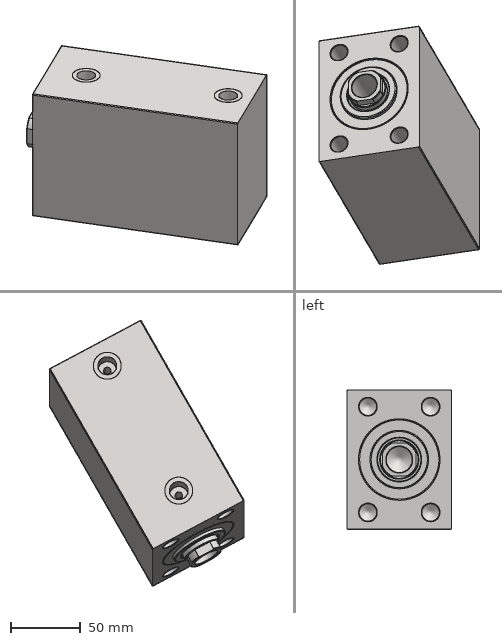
import cadquery as cq
import math


total_length = 165
block_front = 12.0
block_width = 75.0
block_height = 100.0
block_edge_chamfer = 0.7
block_length = total_length - block_front

mount_spacing_y = 44.9
mount_spacing_z = 75.7
mount_diameter = 12.5
mount_mouth_chamfer = 0.41
mount_depth = 24.8

port_positions = (41.1, 147.0)
spotface_diameter = 20.0
spotface_depth = 0.1
port_diameter = 13.4
port_depth = 13.2
passage_diameter = 5.1

gland_diameter = 56.8
gland_rear = port_positions[0]
gland_seat_chamfer = 0.8
collar_diameter = 41.9
collar_protrusion = 2.6
collar_front = block_front - collar_protrusion
collar_chamfer_width = 0.8
collar_chamfer_length = 0.5
recess_diameter = 31.0
recess_depth = 1.6
recess_chamfer = 0.5

rod_diameter = 28
rod_chamfer = 0.5
shoulder_front = 6.3
nose_diameter = 26.7
nose_chamfer = 0.5
nose_across_flats = 23.8
rod_bore_diameter = 18.6
rod_bore_chamfer = 0.3
rod_bore_depth = 29.7
rod_rear = 155.1

drill_point_angle = 118


def revolve_about_axis(points):
    """Solid of revolution about X from (x, radius) points; the closing edge joins last to first."""
    return cq.Workplane("XY").polyline(points).close().revolve(360, (0, 0, 0), (1, 0, 0))


def cylinder_along_x(diameter, start, end):
    radius = diameter / 2
    return revolve_about_axis([(start, 0), (start, radius), (end, radius), (end, 0)])


def drilled_hole(diameter, mouth_chamfer, start, depth):
    """Cutter for a blind hole along X with a chamfered mouth and a conical drill point."""
    radius = diameter / 2
    point_length = radius / math.tan(math.radians(drill_point_angle / 2))
    return revolve_about_axis([
        (start, 0),
        (start, radius + mouth_chamfer),
        (start + mouth_chamfer, radius),
        (start + depth, radius),
        (start + depth + point_length, 0),
    ])


def vertical_cutter(x, diameter, bottom, top):
    return cq.Workplane("XY", origin=(x, 0, bottom)).circle(diameter / 2).extrude(top - bottom)


def make_port_cutter(x):
    """Spotface, flat-bottomed port and a narrow passage down into the axial bores."""
    top = block_height / 2
    spotface = vertical_cutter(x, spotface_diameter, top - spotface_depth, top)
    port = vertical_cutter(x, port_diameter, top - port_depth, top)
    passage = vertical_cutter(x, passage_diameter, 0, top)
    return spotface.union(port).union(passage)


def make_gland_seat():
    """Cutter for the gland seat with its chamfered mouth."""
    radius = gland_diameter / 2
    return revolve_about_axis([
        (block_front, 0),
        (block_front, radius + gland_seat_chamfer),
        (block_front + gland_seat_chamfer, radius),
        (gland_rear, radius),
        (gland_rear, 0),
    ])


def make_housing():
    block = (
        cq.Workplane("YZ", origin=(block_front, 0, 0))
        .rect(block_width, block_height)
        .extrude(block_length)
        .edges("|X")
        .chamfer(block_edge_chamfer)
    )
    block = block.cut(make_gland_seat())
    block = block.cut(cylinder_along_x(rod_diameter, block_front, rod_rear))
    mount_hole = drilled_hole(mount_diameter, mount_mouth_chamfer, block_front, mount_depth)
    for y in (-mount_spacing_y / 2, mount_spacing_y / 2):
        for z in (-mount_spacing_z / 2, mount_spacing_z / 2):
            block = block.cut(mount_hole.translate((0, y, z)))
    for x in port_positions:
        block = block.cut(make_port_cutter(x))
    return block


def make_gland():
    """Stepped ring around the rod, with a wiper recess in its collar."""
    gland_radius = gland_diameter / 2
    collar_radius = collar_diameter / 2
    recess_radius = recess_diameter / 2
    rod_radius = rod_diameter / 2
    return revolve_about_axis([
        (collar_front + recess_depth, rod_radius),
        (collar_front + recess_depth, recess_radius),
        (collar_front + recess_chamfer, recess_radius),
        (collar_front, recess_radius + recess_chamfer),
        (collar_front, collar_radius - collar_chamfer_width),
        (collar_front + collar_chamfer_length, collar_radius),
        (block_front, collar_radius),
        (block_front, gland_radius),
        (gland_rear, gland_radius),
        (gland_rear, rod_radius),
    ])


def make_rod():
    """Rod with a square-flatted nose and a blind bore in its end."""
    rod_radius = rod_diameter / 2
    nose_radius = nose_diameter / 2
    nose = revolve_about_axis([
        (0, 0),
        (0, nose_radius - nose_chamfer),
        (nose_chamfer, nose_radius),
        (shoulder_front, nose_radius),
        (shoulder_front, 0),
    ])
    flats = cq.Workplane("YZ").rect(nose_across_flats, nose_across_flats).extrude(shoulder_front)
    shank = revolve_about_axis([
        (shoulder_front, 0),
        (shoulder_front, rod_radius - rod_chamfer),
        (shoulder_front + rod_chamfer, rod_radius),
        (rod_rear, rod_radius),
        (rod_rear, 0),
    ])
    bore = drilled_hole(rod_bore_diameter, rod_bore_chamfer, 0, rod_bore_depth)
    return shank.union(nose.intersect(flats)).cut(bore)


housing = make_housing()
gland = make_gland()
rod = make_rod()

result = cq.Compound.makeCompound([housing.val(), gland.val(), rod.val()])